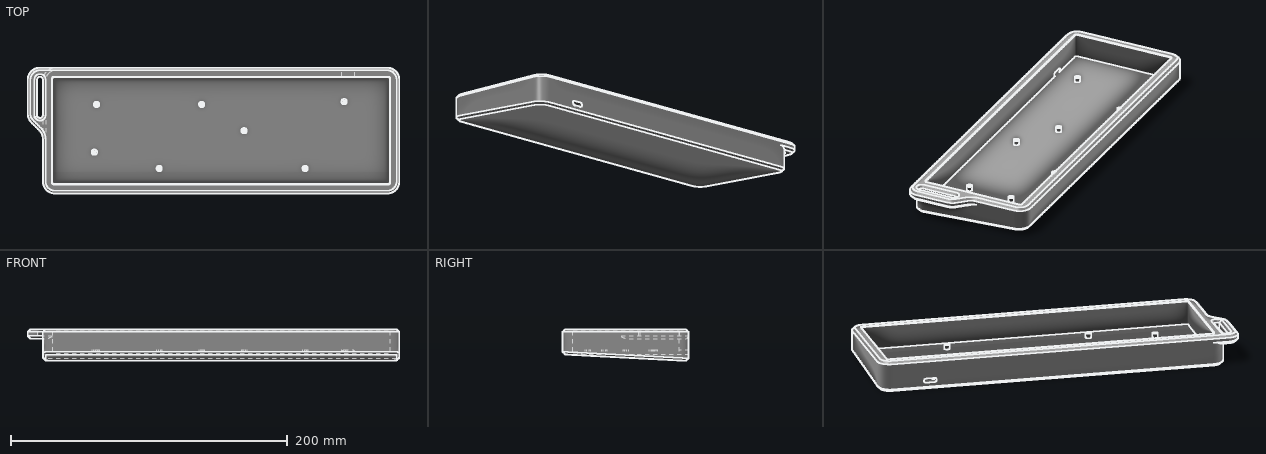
import cadquery as cq
import math

overall_length = 268.89
handle_reach = 11.0
body_length = overall_length - handle_reach
body_width = 91.2
total_height = 22.95
corner_radius = 9.0
edge_chamfer = 2.0
bottom_slope = math.radians(3.0)

wall = 7.0
cavity_corner_radius = 1.0
rim_chamfer = 0.4
rim_chamfer_angle = 45
cavity_depth = 18.0
ramp_length = 8.5

handle_thickness = 6.9
handle_straight = 37.0
handle_overlap = 2 * corner_radius

slot_width = 4.0
slot_back_distance = 6.7
slot_length = 29.7

post_diameter = 4.0
post_hole_diameter = 1.6
post_height = 3.3
post_places = [
    (38.9, 64.5),
    (114.9, 64.5),
    (217.9, 66.5),
    (145.5, 45.5),
    (37.3, 30.0),
    (84.2, 18.2),
    (189.7, 18.2),
]

port_width = 9.5
port_height = 3.2
port_center_x = 220.6


def make_body():
    """Rounded block whose underside rises toward the front."""
    back_depth = total_height + edge_chamfer * math.sin(bottom_slope)
    front_depth = back_depth - body_width * math.tan(bottom_slope)
    side = [(0, 0), (body_width, 0), (body_width, -back_depth), (0, -front_depth)]
    block = cq.Workplane("YZ").polyline(side).close().extrude(body_length)
    block = block.edges("|Z").fillet(corner_radius)
    return block.faces("<Z or >Z").chamfer(edge_chamfer)


def make_handle():
    """Plate that widens the rim to the left and returns to the body at 45 degrees."""
    knee_y = body_width - handle_straight
    root_y = knee_y - handle_reach
    end_y = root_y - corner_radius
    rounded_corners = [(-handle_reach, body_width), (-handle_reach, knee_y), (0, root_y)]
    outline = [
        (handle_overlap, body_width),
        *rounded_corners,
        (0, end_y),
        (handle_overlap, end_y),
    ]
    plate = cq.Workplane("XY").polyline(outline).close().extrude(-handle_thickness)
    for x, y in rounded_corners:
        corner = cq.selectors.NearestToPointSelector((x, y, -handle_thickness / 2))
        plate = plate.edges(corner).fillet(corner_radius)
    return plate.faces("<Z or >Z").chamfer(edge_chamfer)


def slot_outline(plane, growth):
    """Slot outline grown outward, with a 45 degree corner beside the slanted handle edge."""
    radius = slot_width / 2 + growth
    diagonal = radius * math.sin(math.pi / 4)
    center_x = -slot_width / 2
    back_y = body_width - slot_back_distance - slot_width / 2
    front_y = back_y - slot_length + slot_width
    corner_y = front_y - radius * math.tan(math.pi / 8)
    return (
        plane.moveTo(center_x - radius, corner_y)
        .lineTo(center_x - radius, back_y)
        .threePointArc((center_x, back_y + radius), (center_x + radius, back_y))
        .lineTo(center_x + radius, front_y)
        .threePointArc((center_x, front_y - radius), (center_x - diagonal, front_y - diagonal))
        .close()
    )


def make_slot():
    """Straight slot with its upper edge chamfered."""
    straight = slot_outline(cq.Workplane("XY"), 0).extrude(-handle_thickness)
    flare = slot_outline(cq.Workplane("XY"), edge_chamfer).workplane(offset=-edge_chamfer)
    flare = slot_outline(flare, 0).loft(ruled=True)
    return straight.union(flare)


def make_cavity():
    """Rectangular recess with a chamfered upper edge."""
    length = body_length - 2 * wall
    width = body_width - 2 * wall
    ramp_rise = ramp_length * math.tan(bottom_slope)
    side = [
        (wall, 0),
        (wall + width, 0),
        (wall + width, -cavity_depth),
        (wall + ramp_length, -cavity_depth),
        (wall, -cavity_depth + ramp_rise),
    ]
    recess = cq.Workplane("YZ", origin=(wall, 0, 0)).polyline(side).close().extrude(length)
    recess = recess.edges("|Z").fillet(cavity_corner_radius)
    rim_outline = (
        cq.Sketch()
        .rect(length + 2 * rim_chamfer, width + 2 * rim_chamfer)
        .vertices()
        .fillet(cavity_corner_radius + rim_chamfer)
    )
    flare = (
        cq.Workplane("XY", origin=(body_length / 2, body_width / 2, 0))
        .placeSketch(rim_outline)
        .extrude(-rim_chamfer, taper=rim_chamfer_angle)
    )
    return recess.union(flare)


def make_posts():
    """Hollow posts standing on the cavity floor."""
    floor = cq.Workplane("XY").workplane(offset=-cavity_depth)
    posts = floor.pushPoints(post_places).circle(post_diameter / 2).extrude(post_height)
    holes = floor.pushPoints(post_places).circle(post_hole_diameter / 2).extrude(post_height)
    return posts.cut(holes)


def make_port():
    """Rounded opening that runs through the back wall."""
    center_z = -cavity_depth + port_height / 2
    return (
        cq.Workplane("XZ", origin=(port_center_x, body_width, center_z))
        .slot2D(port_width, port_height)
        .extrude(wall)
    )


tray = make_body().union(make_handle())
tray = tray.cut(make_cavity()).cut(make_slot())
result = tray.union(make_posts()).cut(make_port())